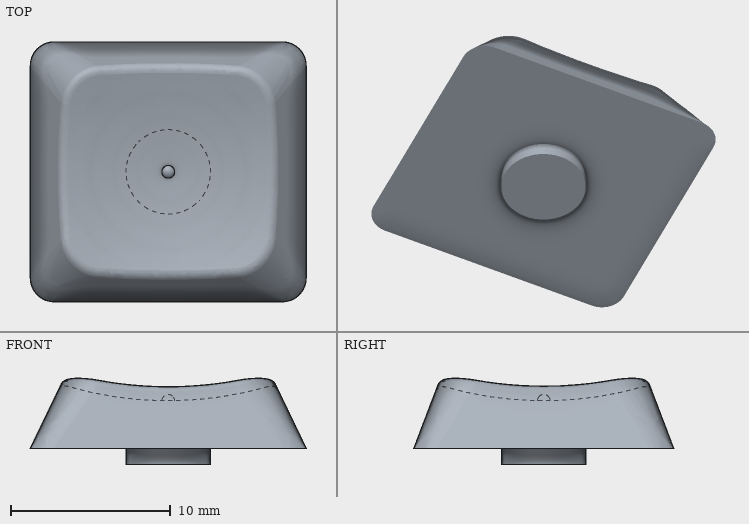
import cadquery as cq

base_length = 17.3
base_width = 16.3
base_corner_radius = 1.5
taper_top_size = 12.49
taper_top_corner_radius = 2.49
taper_height = 5.0

dish_radius = 22.49
dish_bottom_height = 3.0
rim_radius = 0.5

dot_radius = 0.4

stem_diameter = 5.3
stem_length = 1.0


def rounded_rectangle(length, width, corner_radius):
    return cq.Sketch().rect(length, width).vertices().fillet(corner_radius)


def tapered_body():
    bottom = rounded_rectangle(base_length, base_width, base_corner_radius)
    top = rounded_rectangle(taper_top_size, taper_top_size, taper_top_corner_radius)
    raised_top = top.moved(cq.Location(cq.Vector(0, 0, taper_height)))
    return cq.Workplane().placeSketch(bottom, raised_top).loft(ruled=True)


def dished_body():
    dish = cq.Workplane().sphere(dish_radius).translate((0, 0, dish_bottom_height + dish_radius))
    body = tapered_body().cut(dish)
    return body.faces("%SPHERE").edges().fillet(rim_radius)


def centre_dot():
    return cq.Workplane().sphere(dot_radius).translate((0, 0, dish_bottom_height))


def stem():
    return cq.Workplane().circle(stem_diameter / 2).extrude(-stem_length)


result = dished_body().union(centre_dot()).union(stem())